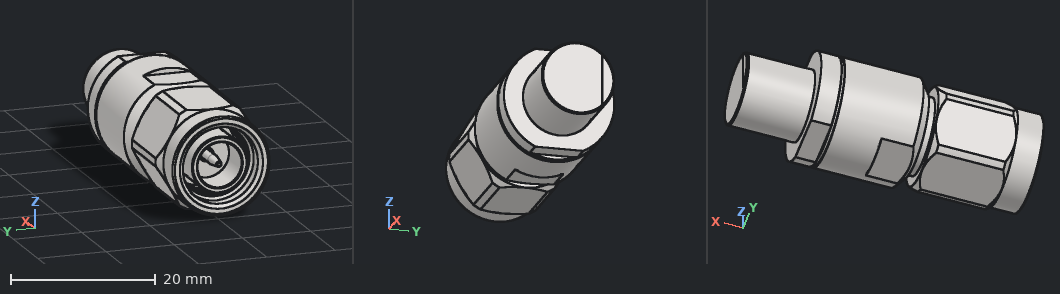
import cadquery as cq

LENGTH = 42.65
BODY_RADIUS = 7.95
FLAT_SPACING = 14.3

COLLAR_RADIUS = 7.13
COLLAR_CHAMFER = 0.15
COLLAR_FACE_RADIUS = 6.83
HEX_START = 3.9
HEX_END = 15.45
HEX_CHAMFER = 0.9
HEX_SIDES = 6
CORNER_TURN = 180 / HEX_SIDES

MOUTH_RADIUS = 6.1
MOUTH_DEPTH = 0.43
RECESS_RADIUS = 5.5
RECESS_DEPTH = 2.15
THREAD_RADIUS = 5.05
THREAD_LEAD_IN = RECESS_RADIUS - THREAD_RADIUS
THREAD_PITCH = 0.9
THREAD_GROOVES = 5
THREAD_GROOVE_SHARE = 0.8
SOCKET_DEPTH = 8.55

TUBE_START = 0.65
TUBE_OUTER_RADIUS = 4.05
TUBE_INNER_RADIUS = 3.25
TUBE_CHAMFER = 0.13
TUBE_DEPTH = 5.97
PIN_START = 0.95
PIN_FACE_RADIUS = 0.25
PIN_TIP_RADIUS = 0.4
PIN_TIP_CHAMFER = PIN_TIP_RADIUS - PIN_FACE_RADIUS
PIN_RADIUS = 0.73
PIN_TAPER_LENGTH = 2.55
PIN_CLEARANCE_RADIUS = 1.0
PIN_CLEARANCE_DEPTH = 0.43

NECK_RADIUS = 5.65
BODY_START = 16.55
BODY_FACE_RADIUS = 6.3
BODY_CHAMFER_LENGTH = 1.32
BODY_FLAT_END = 22.5
GROOVE_START = 29.3
GROOVE_RADIUS = 7.72
FLANGE_START = 29.8
FLANGE_END = 32.75
TAIL_RADIUS = 5.2
TAIL_CHAMFER = 0.15

END_SEGMENT_HEIGHT = 0.13
END_SEGMENT_OFFSET = 3.4
TAIL_END = LENGTH - END_SEGMENT_HEIGHT
TAIL_FACE_RADIUS = TAIL_RADIUS - TAIL_CHAMFER


def revolve(profile):
    """Revolve a closed (x, radius) outline about the X axis."""
    outline = cq.Workplane("XY").polyline(profile).close()
    return outline.revolve(360, (0, 0, 0), (1, 0, 0))


def cylinder(start, end, radius):
    """Solid cylinder along X."""
    return cq.Workplane("YZ", origin=(start, 0, 0)).circle(radius).extrude(end - start)


def outside_flats(start, end):
    """Material beyond the two wrench flats facing +Z and -Z."""
    blank = cylinder(start, end, 2 * BODY_RADIUS)
    slab = cq.Workplane("XY").box(2 * LENGTH, 4 * BODY_RADIUS, FLAT_SPACING)
    return blank.cut(slab.translate((LENGTH, 0, 0)))


def hexagon():
    """Hexagon with rounded corners and conical ends."""
    turned = revolve([
        (HEX_START, 0),
        (HEX_START, COLLAR_RADIUS),
        (HEX_START + HEX_CHAMFER, BODY_RADIUS),
        (HEX_END - HEX_CHAMFER, BODY_RADIUS),
        (HEX_END, COLLAR_RADIUS),
        (HEX_END, 0),
    ])
    prism = (
        cq.Workplane("YZ", origin=(HEX_START, 0, 0))
        .polygon(HEX_SIDES, FLAT_SPACING, circumscribed=True)
        .extrude(HEX_END - HEX_START)
        .rotate((0, 0, 0), (1, 0, 0), CORNER_TURN)
    )
    return turned.intersect(prism)


def coupling_nut():
    collar = revolve([
        (0, 0),
        (0, COLLAR_FACE_RADIUS),
        (COLLAR_CHAMFER, COLLAR_RADIUS),
        (HEX_START, COLLAR_RADIUS),
        (HEX_START, 0),
    ])
    return collar.union(hexagon())


def thread_groove(root):
    """Disc with a V edge whose widest point lies at X = root."""
    half_width = THREAD_PITCH * THREAD_GROOVE_SHARE / 2
    return revolve([
        (root - half_width, 0),
        (root - half_width, THREAD_RADIUS),
        (root, RECESS_RADIUS),
        (root + half_width, THREAD_RADIUS),
        (root + half_width, 0),
    ])


def socket():
    """Stepped bore of the nut, with its thread as a row of ring grooves."""
    bore = revolve([
        (0, 0),
        (0, MOUTH_RADIUS),
        (MOUTH_DEPTH, RECESS_RADIUS),
        (RECESS_DEPTH, RECESS_RADIUS),
        (RECESS_DEPTH + THREAD_LEAD_IN, THREAD_RADIUS),
        (SOCKET_DEPTH, THREAD_RADIUS),
        (SOCKET_DEPTH, 0),
    ])
    for index in range(1, THREAD_GROOVES + 1):
        bore = bore.union(thread_groove(RECESS_DEPTH + index * THREAD_PITCH))
    return bore


def contact_tube():
    """Outer contact with the insulator floor and the recess around the pin."""
    lip_end = TUBE_START + TUBE_CHAMFER
    recess_end = TUBE_DEPTH + PIN_CLEARANCE_DEPTH
    return revolve([
        (SOCKET_DEPTH, 0),
        (SOCKET_DEPTH, TUBE_OUTER_RADIUS),
        (lip_end, TUBE_OUTER_RADIUS),
        (TUBE_START, TUBE_OUTER_RADIUS - TUBE_CHAMFER),
        (TUBE_START, TUBE_INNER_RADIUS + TUBE_CHAMFER),
        (lip_end, TUBE_INNER_RADIUS),
        (TUBE_DEPTH, TUBE_INNER_RADIUS),
        (TUBE_DEPTH, PIN_CLEARANCE_RADIUS),
        (recess_end, PIN_CLEARANCE_RADIUS),
        (recess_end, 0),
    ])


def centre_pin():
    taper_end = PIN_START + PIN_TAPER_LENGTH
    return revolve([
        (PIN_START, 0),
        (PIN_START, PIN_FACE_RADIUS),
        (PIN_START + PIN_TIP_CHAMFER, PIN_TIP_RADIUS),
        (taper_end, PIN_RADIUS),
        (SOCKET_DEPTH, PIN_RADIUS),
        (SOCKET_DEPTH, 0),
    ])


def body():
    """Chamfered body with two short wrench flats at its front."""
    turned = revolve([
        (BODY_START, 0),
        (BODY_START, BODY_FACE_RADIUS),
        (BODY_START + BODY_CHAMFER_LENGTH, BODY_RADIUS),
        (GROOVE_START, BODY_RADIUS),
        (GROOVE_START, 0),
    ])
    return turned.cut(outside_flats(BODY_START, BODY_FLAT_END))


def flange():
    """Rear flange with two flats across its full width."""
    disc = cylinder(FLANGE_START, FLANGE_END, BODY_RADIUS)
    return disc.cut(outside_flats(FLANGE_START, FLANGE_END))


def cable_tail():
    tail = cylinder(FLANGE_END, TAIL_END, TAIL_RADIUS).faces(">X").chamfer(TAIL_CHAMFER)
    keeper = cq.Workplane("XY").box(2 * LENGTH, TAIL_RADIUS, 2 * TAIL_RADIUS)
    keeper = keeper.translate((LENGTH, END_SEGMENT_OFFSET + TAIL_RADIUS / 2, 0))
    segment = cylinder(TAIL_END, LENGTH, TAIL_FACE_RADIUS).intersect(keeper)
    return tail.union(segment)


neck = cylinder(HEX_END, BODY_START, NECK_RADIUS)
groove_floor = cylinder(GROOVE_START, FLANGE_START, GROOVE_RADIUS)

result = (
    coupling_nut()
    .cut(socket())
    .union(contact_tube())
    .union(centre_pin())
    .union(neck)
    .union(body())
    .union(groove_floor)
    .union(flange())
    .union(cable_tail())
)